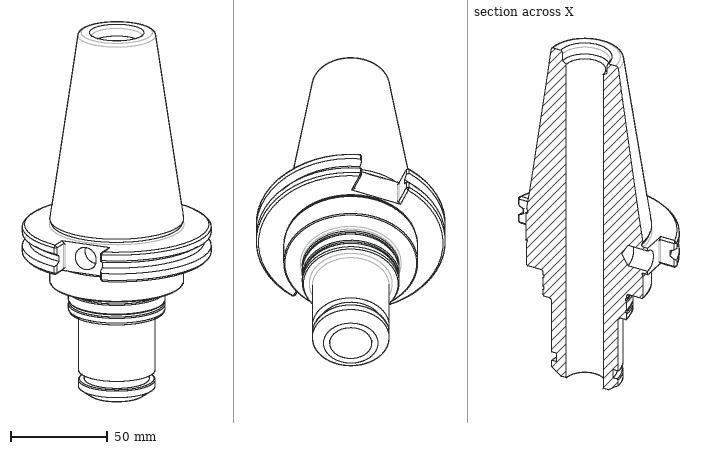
import cadquery as cq
import math


total_height = 197.2
taper_length = 101.8
gauge_z = total_height - taper_length
flange_gap = 3.0
flange_top_z = gauge_z - flange_gap
flange_thickness = 16.2
flange_bottom_z = flange_top_z - flange_thickness
collar_bottom_z = 61.0
step_bottom_z = 45.4
cone_height = 4.1

gauge_diameter = 69.8
taper_per_length = 7 / 24
small_end_diameter = gauge_diameter - taper_length * taper_per_length
small_end_fillet = 1.8

undercut_depth = 0.8
undercut_fillet = 1.0

flange_diameter = 98.5
flange_chamfer = 1.2
flange_groove_z = 84.6
flange_groove_depth = 3.5
flange_groove_floor_width = 3.0
flange_groove_flank_angle = 30

neck_depth = 0.4
neck_height = 0.5
neck_cone_height = 1.2
collar_chamfer = 0.5
step_diameter = 50.5
step_fillet = 1.0
step_chamfer_depth = 0.5
step_chamfer_height = 1.2
ring_groove_depth = 0.5
ring_groove_floor_width = 1.2
ring_groove_heights = (57.4, 50.3)
shank_diameter = 40.0
shank_fillet = 1.5
end_diameter = 28.4

clip_groove_diameter = 34.0
clip_groove_bottom_z = 8.3
clip_groove_top_z = 13.0
clip_groove_chamfer = 0.5

bore_diameter = 21.9
pilot_diameter = 26.5
mouth_diameter = 28.4
mouth_depth = 2.0
pilot_depth = 6.1
seat_height = 1.5

slot_width = 25.0
front_slot_floor = 37.7
rear_slot_floor = 35.3
slot_corner_fillet = 0.5
floor_zone_margin = 0.4
drive_hole_diameter = 12.0
drive_hole_depth = 11.8
drill_tip_angle = 118


def cylinder(diameter, bottom_z, top_z):
    return cq.Workplane("XY", origin=(0, 0, bottom_z)).circle(diameter / 2).extrude(top_z - bottom_z)


def turned(outline):
    """Solid of revolution about Z from a closed outline drawn as (radius, z)."""
    return outline.close().revolve(360, (0, 0), (0, 1))


def groove_cutter(outer_diameter, depth, floor_bottom_z, floor_top_z, lower_run, upper_run):
    """Ring for a turned groove whose flanks spread by the given runs along Z over the depth."""
    outer_radius = outer_diameter / 2
    floor_radius = outer_radius - depth
    clear_radius = outer_radius + depth
    outline = cq.Workplane("XZ").polyline([
        (floor_radius, floor_bottom_z),
        (outer_radius, floor_bottom_z - lower_run),
        (clear_radius, floor_bottom_z - lower_run),
        (clear_radius, floor_top_z + upper_run),
        (outer_radius, floor_top_z + upper_run),
        (floor_radius, floor_top_z),
    ])
    return turned(outline)


def slot_cutter(side, floor):
    """Block for a drive slot on the -Y (side -1) or +Y (side 1) edge, taller than the flange."""
    length = flange_diameter
    center = (0, side * (floor + length / 2), flange_bottom_z + flange_thickness / 2)
    return cq.Workplane("XY").box(slot_width, length, 2 * flange_thickness).translate(center)


def make_body():
    """Taper, undercut, collar, stepped shank and end cone as one turned solid."""
    gauge_radius = gauge_diameter / 2
    undercut_radius = gauge_radius - undercut_depth
    neck_radius = gauge_radius - neck_depth
    step_radius = step_diameter / 2
    shank_radius = shank_diameter / 2
    outline = (
        cq.Workplane("XZ")
        .moveTo(0, 0)
        .lineTo(end_diameter / 2, 0)
        .lineTo(shank_radius, cone_height)
        .lineTo(shank_radius, step_bottom_z - shank_fillet)
        .radiusArc((shank_radius + shank_fillet, step_bottom_z), shank_fillet)
        .lineTo(step_radius - step_chamfer_depth, step_bottom_z)
        .lineTo(step_radius, step_bottom_z + step_chamfer_height)
        .lineTo(step_radius, collar_bottom_z - step_fillet)
        .radiusArc((step_radius + step_fillet, collar_bottom_z), step_fillet)
        .lineTo(gauge_radius - collar_chamfer, collar_bottom_z)
        .lineTo(gauge_radius, collar_bottom_z + collar_chamfer)
        .lineTo(gauge_radius, flange_bottom_z - neck_height - neck_cone_height)
        .lineTo(neck_radius, flange_bottom_z - neck_height)
        .lineTo(neck_radius, flange_bottom_z)
        .lineTo(undercut_radius + undercut_fillet, flange_top_z)
        .radiusArc((undercut_radius, flange_top_z + undercut_fillet), undercut_fillet)
        .lineTo(gauge_radius, gauge_z)
        .lineTo(small_end_diameter / 2, total_height)
        .lineTo(0, total_height)
    )
    body = turned(outline).faces(">Z").edges().fillet(small_end_fillet)
    half_floor = ring_groove_floor_width / 2
    for floor_z in ring_groove_heights:
        body = body.cut(groove_cutter(
            step_diameter, ring_groove_depth,
            floor_z - half_floor, floor_z + half_floor,
            ring_groove_depth, ring_groove_depth,
        ))
    return body


def cut_clip_groove(body):
    """Square retaining groove near the lower end with a chamfered lower edge."""
    depth = (shank_diameter - clip_groove_diameter) / 2
    groove = groove_cutter(shank_diameter, depth, clip_groove_bottom_z, clip_groove_top_z, 0, 0)
    chamfer = groove_cutter(
        shank_diameter, clip_groove_chamfer, clip_groove_bottom_z, clip_groove_top_z, clip_groove_chamfer, 0
    )
    return body.cut(groove).cut(chamfer)


def make_flange(slots):
    """Slotted gripper flange with chamfered outer edges and a V groove around the rim."""
    flange = cylinder(flange_diameter, flange_bottom_z, flange_top_z)
    for slot in slots:
        flange = flange.cut(slot)
    floor_zone = cq.selectors.BoxSelector(
        (-slot_width, -front_slot_floor - floor_zone_margin, 0),
        (slot_width, rear_slot_floor + floor_zone_margin, total_height),
    )
    flange = flange.edges(cq.selectors.Selector() - floor_zone).chamfer(flange_chamfer)
    flange = flange.edges(floor_zone).edges("|Z").fillet(slot_corner_fillet)
    half_floor = flange_groove_floor_width / 2
    flank_run = flange_groove_depth * math.tan(math.radians(flange_groove_flank_angle))
    return flange.cut(groove_cutter(
        flange_diameter, flange_groove_depth,
        flange_groove_z - half_floor, flange_groove_z + half_floor,
        flank_run, flank_run,
    ))


def make_bore():
    """Through bore with a wider pilot, a conical seat and a flared mouth at the small end."""
    bore_radius = bore_diameter / 2
    pilot_radius = pilot_diameter / 2
    pilot_bottom_z = total_height - pilot_depth
    flare = mouth_diameter / 2 - pilot_radius
    mouth_arc_radius = (mouth_depth**2 + flare**2) / (2 * flare)
    outline = (
        cq.Workplane("XZ")
        .lineTo(bore_radius, 0)
        .lineTo(bore_radius, pilot_bottom_z - seat_height)
        .lineTo(pilot_radius, pilot_bottom_z)
        .lineTo(pilot_radius, total_height - mouth_depth)
        .radiusArc((mouth_diameter / 2, total_height), mouth_arc_radius)
        .lineTo(0, total_height)
    )
    return turned(outline)


def make_drive_hole():
    """Blind drilled hole with a conical tip, running inward from the -Y slot floor."""
    radius = drive_hole_diameter / 2
    tip_length = radius / math.tan(math.radians(drill_tip_angle / 2))
    wall_end = -front_slot_floor + drive_hole_depth
    outline = cq.Workplane("XY", origin=(0, 0, flange_groove_z)).polyline([
        (0, -front_slot_floor),
        (radius, -front_slot_floor),
        (radius, wall_end),
        (0, wall_end + tip_length),
    ])
    return turned(outline)


slots = [slot_cutter(-1, front_slot_floor), slot_cutter(1, rear_slot_floor)]
body = cut_clip_groove(make_body())
for slot in slots:
    body = body.cut(slot)
result = body.union(make_flange(slots)).cut(make_bore()).cut(make_drive_hole())